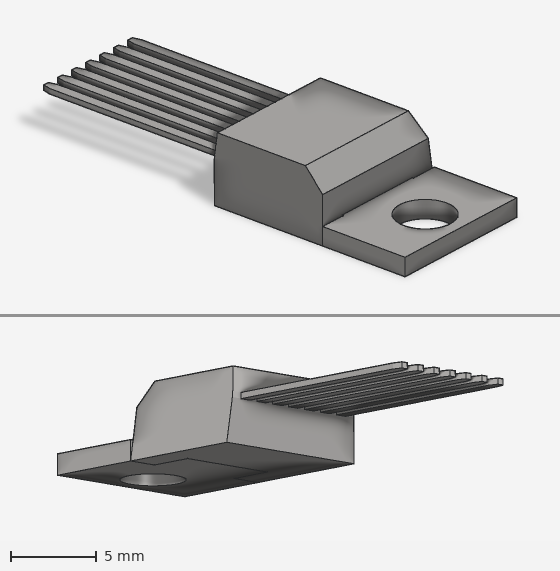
import cadquery as cq

total_length = 28.35
total_width = 10.15
total_height = 4.57

tab_thickness = 1.28
tab_length = 6.27
tab_start = total_length - tab_length
tongue_width = 6.35
tongue_length = 2.85
hole_diameter = 3.85
hole_to_tab_end = 2.72

lead_count = 7
lead_span = 7.63
lead_pitch = lead_span / (lead_count - 1)
lead_length = 13.65
lead_width = 0.7
lead_thickness = 0.37
lead_bottom = 2.67
lead_top = lead_bottom + lead_thickness
tip_width = 0.43
tip_length = 0.6

housing_top_width = 9.35
lower_front_draft = 0.23
upper_front_draft = 0.1
rear_draft = 0.23
bevel_length = 1.42
bevel_height = 1.4
bevel_foot = tab_start - rear_draft


def make_tongue():
    """Tongue of the tab, which also gives the shape of its recess in the housing."""
    return (
        cq.Workplane("XY")
        .box(tongue_length, tongue_width, tab_thickness, centered=(False, True, False))
        .translate((tab_start - tongue_length, 0, 0))
    )


def make_housing():
    """Housing with drafted ends and sides, a bevel above the tab and a recess for the tongue."""
    end_profile = [
        (lead_length + lower_front_draft, 0),
        (lead_length, lead_bottom),
        (lead_length, lead_top),
        (lead_length + upper_front_draft, total_height),
        (bevel_foot - bevel_length, total_height),
        (bevel_foot, total_height - bevel_height),
        (tab_start, 0),
    ]
    side_profile = [
        (-total_width / 2, 0),
        (total_width / 2, 0),
        (housing_top_width / 2, total_height),
        (-housing_top_width / 2, total_height),
    ]
    block = cq.Workplane("XZ").polyline(end_profile).close().extrude(total_width / 2, both=True)
    drafted_bar = cq.Workplane("YZ").polyline(side_profile).close().extrude(total_length)
    return block.intersect(drafted_bar).cut(make_tongue())


def make_tab():
    """Flat plate with one round mounting hole and a tongue that goes into the housing."""
    plate = (
        cq.Workplane("XY")
        .box(tab_length, total_width, tab_thickness, centered=(False, True, False))
        .translate((tab_start, 0, 0))
    )
    hole = (
        cq.Workplane("XY")
        .center(total_length - hole_to_tab_end, 0)
        .circle(hole_diameter / 2)
        .extrude(tab_thickness)
    )
    return plate.union(make_tongue()).cut(hole)


def make_lead(y_position):
    """Straight flat lead with a tapered tip, ending on the housing's lead face."""
    outline = [
        (0, -tip_width / 2),
        (tip_length, -lead_width / 2),
        (lead_length, -lead_width / 2),
        (lead_length, lead_width / 2),
        (tip_length, lead_width / 2),
        (0, tip_width / 2),
    ]
    lead = cq.Workplane("XY").polyline(outline).close().extrude(lead_thickness)
    return lead.translate((0, y_position, lead_bottom))


housing = make_housing()
tab = make_tab()

leads = []
for index in range(lead_count):
    lead_y = index * lead_pitch - lead_span / 2
    leads.append(make_lead(lead_y))

result = cq.Compound.makeCompound([housing.val(), tab.val(), *[lead.val() for lead in leads]])